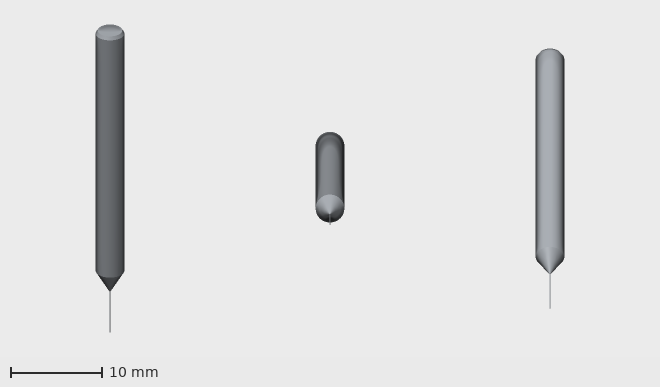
import cadquery as cq

TOTAL_LENGTH = 38.0
SHANK_RADIUS = 3.15 / 2

CONE_BOTTOM = 5.13
CONE_TOP = 7.8

CHAMFER_HEIGHT = 0.38
CHAMFER_WIDTH = 0.23

NEEDLE_RADIUS = 0.05


def make_shank():
    """Round shank with a chamfered top and a cone that narrows to the needle."""
    return (
        cq.Workplane("XZ")
        .moveTo(0, CONE_BOTTOM)
        .lineTo(NEEDLE_RADIUS, CONE_BOTTOM)
        .lineTo(SHANK_RADIUS, CONE_TOP)
        .lineTo(SHANK_RADIUS, TOTAL_LENGTH - CHAMFER_HEIGHT)
        .lineTo(SHANK_RADIUS - CHAMFER_WIDTH, TOTAL_LENGTH)
        .lineTo(0, TOTAL_LENGTH)
        .close()
        .revolve(360, (0, 0), (0, 1))
    )


def make_needle():
    """Thin round needle with a ball end that meets the narrow end of the cone."""
    return (
        cq.Workplane("XZ")
        .moveTo(0, 0)
        .radiusArc((NEEDLE_RADIUS, NEEDLE_RADIUS), -NEEDLE_RADIUS)
        .lineTo(NEEDLE_RADIUS, CONE_BOTTOM)
        .lineTo(0, CONE_BOTTOM)
        .close()
        .revolve(360, (0, 0), (0, 1))
    )


shank = make_shank()
needle = make_needle()

result = cq.Compound.makeCompound([shank.val(), needle.val()])